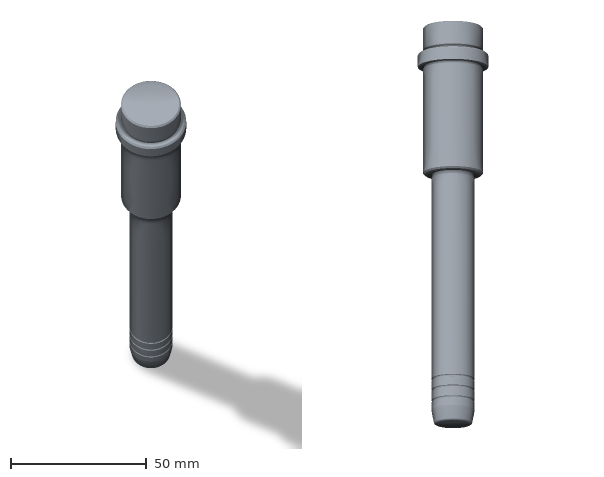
import cadquery as cq

total_length = 150.0
flange_radius = 12.98
body_radius = 11.02
shank_radius = 8.0

flange_top = 140.0
flange_bottom = 135.0
body_bottom = 94.4
edge_chamfer = 0.6
neck_chamfer = 0.5

relief_depth = 0.3
head_relief_height = 1.4
body_relief_height = 0.9
shank_relief_height = 1.4

groove_count = 3
groove_pitch = 4.0
lowest_groove_center = 8.5
groove_width = 0.9
groove_depth = 0.3

lead_in_height = 5.4
lead_in_mid_height = 2.7
lead_in_mid_radius = 7.5
tip_radius = 6.9
tip_fillet = 0.8


def cylinder(radius, bottom, top):
    """Solid cylinder between two heights."""
    return cq.Workplane("XY").workplane(offset=bottom).circle(radius).extrude(top - bottom)


def ring_cut(outer_radius, depth, bottom, top):
    """Ring that cuts a cylindrical surface to the given depth."""
    inner_radius = outer_radius - depth
    return cylinder(outer_radius + depth, bottom, top).cut(cylinder(inner_radius, bottom, top))


def round_groove(center):
    """Ring cutter that leaves a shallow round-bottomed groove in the shank."""
    return (
        cq.Workplane("XZ")
        .moveTo(shank_radius, center - groove_width / 2)
        .threePointArc((shank_radius - groove_depth, center), (shank_radius, center + groove_width / 2))
        .lineTo(shank_radius + groove_depth, center + groove_width / 2)
        .lineTo(shank_radius + groove_depth, center - groove_width / 2)
        .close()
        .revolve(360, (0, 0, 0), (0, 1, 0))
    )


def make_shank():
    """Long shank with its curved lead-in, shoulder relief and ring grooves."""
    shank = (
        cq.Workplane("XZ")
        .lineTo(tip_radius, 0)
        .threePointArc((lead_in_mid_radius, lead_in_mid_height), (shank_radius, lead_in_height))
        .lineTo(shank_radius, body_bottom)
        .lineTo(0, body_bottom)
        .close()
        .revolve(360, (0, 0, 0), (0, 1, 0))
        .faces("<Z")
        .edges()
        .fillet(tip_fillet)
    )
    shank = shank.cut(
        ring_cut(shank_radius, relief_depth, body_bottom - shank_relief_height, body_bottom)
    )
    for index in range(groove_count):
        center = lowest_groove_center + index * groove_pitch
        shank = shank.cut(round_groove(center))
    return shank


def make_body():
    """Thick body below the flange, relieved under the flange."""
    body_top = flange_bottom - body_relief_height + relief_depth
    body = cylinder(body_radius, body_bottom, body_top)
    body = body.faces("<Z").chamfer(edge_chamfer).faces(">Z").chamfer(relief_depth)
    return body.union(cylinder(body_radius - relief_depth, body_bottom + edge_chamfer, flange_bottom))


def make_flange():
    """Flange with a chamfered upper rim."""
    return cylinder(flange_radius, flange_bottom, flange_top).faces(">Z").chamfer(edge_chamfer)


def make_head():
    """Head above the flange, chamfered at both ends and standing on a relieved neck."""
    head_bottom = flange_top + head_relief_height - neck_chamfer
    neck = cylinder(body_radius - neck_chamfer, flange_top, head_bottom)
    head = cylinder(body_radius, head_bottom, total_length)
    head = head.faces("<Z").chamfer(neck_chamfer).faces(">Z").chamfer(edge_chamfer)
    return neck.union(head)


result = make_shank().union(make_body()).union(make_flange()).union(make_head())